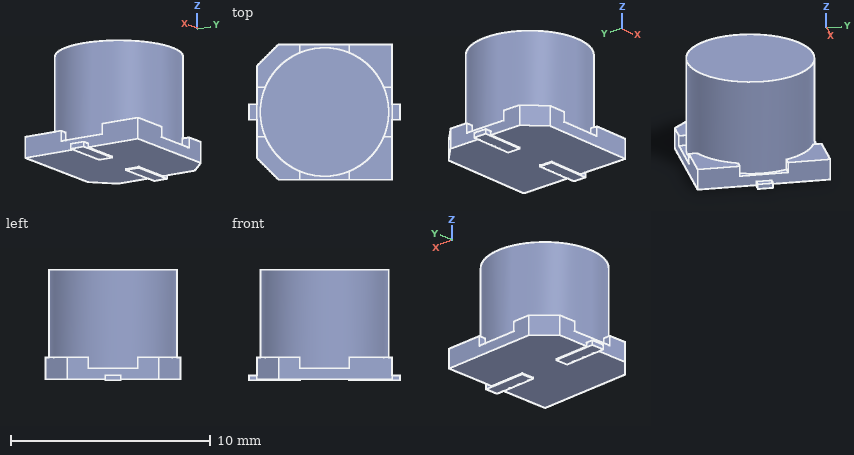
import cadquery as cq

overall_length = 7.59
base_side = 6.81
overall_height = 5.57

standoff = 0.05
base_top = 1.15
notch_floor = 0.615
notch_width = 2.475
corner_chamfer = 1.09

can_diameter = 6.46

lead_width = 0.78
lead_height = 0.26
lead_inner_end = 1.21
lead_length = overall_length / 2 - lead_inner_end


def box_between(length, width, bottom, top, x=0.0):
    """Box centred on (x, 0), standing between two heights."""
    return (
        cq.Workplane("XY", origin=(x, 0, bottom))
        .rect(length, width)
        .extrude(top - bottom)
    )


def make_can():
    """Plain cylinder standing on the notch floor level."""
    return (
        cq.Workplane("XY", origin=(0, 0, notch_floor))
        .circle(can_diameter / 2)
        .extrude(overall_height - notch_floor)
    )


def make_lead(side):
    """Flat lead reaching outward under the base; side is -1 or +1 along X."""
    centre = side * (lead_inner_end + lead_length / 2)
    return box_between(lead_length, lead_width, 0, lead_height, centre)


def make_base(can, leads):
    """Square plate with two cut corners, a notch in each side, and seats for the can and the leads."""
    base = box_between(base_side, base_side, standoff, base_top)
    base = base.edges("|Z and <X").chamfer(corner_chamfer)
    notch_along_x = box_between(base_side, notch_width, notch_floor, base_top)
    notch_along_y = box_between(notch_width, base_side, notch_floor, base_top)
    base = base.cut(notch_along_x).cut(notch_along_y).cut(can)
    for lead in leads:
        base = base.cut(lead)
    return base


can = make_can()
leads = [make_lead(side) for side in (-1, 1)]
base = make_base(can, leads)

result = cq.Compound.makeCompound([base.val(), can.val(), *[lead.val() for lead in leads]])